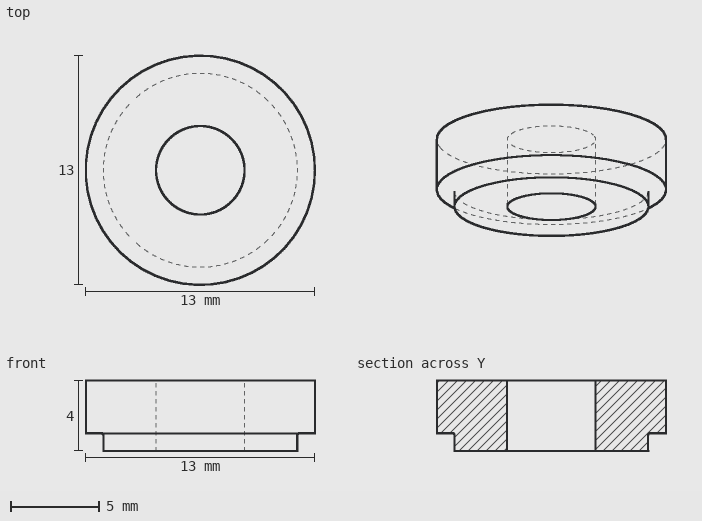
import cadquery as cq

outer_diameter = 13.0
total_height = 4.0
bore_diameter = 5.0

spigot_diameter = 11.0
spigot_height = 1.0
root_fillet = 0.1

disc_height = total_height - spigot_height

spigot = cq.Workplane("XY").circle(spigot_diameter / 2).extrude(spigot_height)
disc = (
    cq.Workplane("XY")
    .workplane(offset=spigot_height)
    .circle(outer_diameter / 2)
    .extrude(disc_height)
)
body = spigot.union(disc)

shoulder_corner = cq.selectors.RadiusNthSelector(0)
body = body.faces("<Z[1]").edges(shoulder_corner).fillet(root_fillet)

bore = cq.Workplane("XY").circle(bore_diameter / 2).extrude(total_height)
result = body.cut(bore)